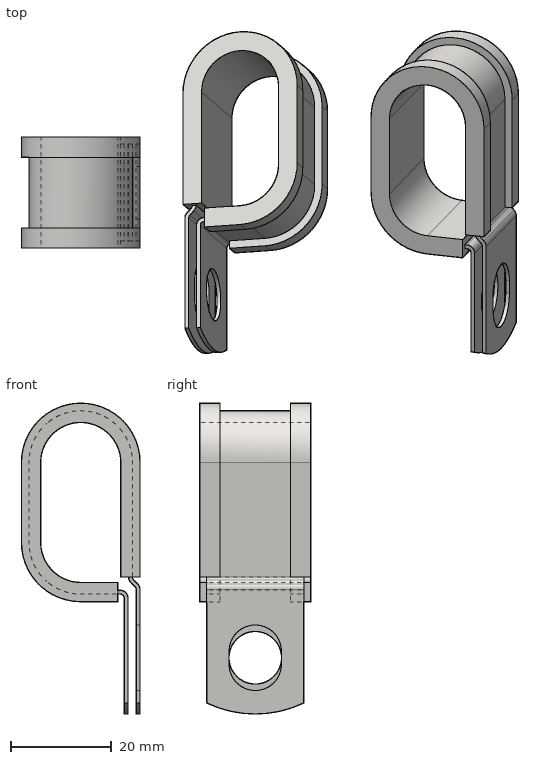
import cadquery as cq
import math

bore_width = 15.87
straight_height = 15.87
outer_width = 23.61
cushion_width = 22.1
overall_height = 61.79
outer_radius = outer_width / 2
bore_radius = bore_width / 2
arc_center_z = straight_height / 2
loop_top = arc_center_z + outer_radius
loop_bottom = -loop_top

side_leg_length = 34.55
side_leg_end_z = loop_top - side_leg_length
bottom_leg_end_x = 7.35

lip_width = 4.05
lip_center_y = (cushion_width - lip_width) / 2
groove_depth = 1.52

strap_thickness = 0.8
strap_width = 19.3
strap_embedment = 1.0
tab_spacing = 2.4
bend_inner_radius = 0.8
bend_radius = bend_inner_radius + strap_thickness / 2
jog_angle = math.radians(45)
strap_center_depth = groove_depth + strap_thickness / 2
outer_tab_x = outer_radius - strap_thickness / 2
inner_tab_x = outer_tab_x - tab_spacing

tab_bottom_z = loop_top - overall_height
tab_end_bulge = 2.2
hole_diameter = 10.4
slot_elongation = 2.6
hole_height_above_end = 11.2
hole_center_z = tab_bottom_z + hole_height_above_end


def open_loop(radius, width):
    """Loop wall between the bore and the given outer radius, centred in Y."""
    diagonal = math.cos(math.radians(45))
    return (
        cq.Workplane("XZ")
        .moveTo(radius, side_leg_end_z)
        .lineTo(radius, arc_center_z)
        .threePointArc((0, arc_center_z + radius), (-radius, arc_center_z))
        .lineTo(-radius, -arc_center_z)
        .threePointArc(
            (-radius * diagonal, -arc_center_z - radius * diagonal),
            (0, -arc_center_z - radius),
        )
        .lineTo(bottom_leg_end_x, -arc_center_z - radius)
        .lineTo(bottom_leg_end_x, -arc_center_z - bore_radius)
        .lineTo(0, -arc_center_z - bore_radius)
        .threePointArc(
            (-bore_radius * diagonal, -arc_center_z - bore_radius * diagonal),
            (-bore_radius, -arc_center_z),
        )
        .lineTo(-bore_radius, arc_center_z)
        .threePointArc((0, arc_center_z + bore_radius), (bore_radius, arc_center_z))
        .lineTo(bore_radius, side_leg_end_z)
        .close()
        .extrude(width / 2, both=True)
    )


def make_cushion():
    """Recessed band with a full-radius lip along each edge."""
    cushion = open_loop(outer_radius - groove_depth, cushion_width)
    for side in (-1, 1):
        lip = open_loop(outer_radius, lip_width).translate((0, side * lip_center_y, 0))
        cushion = cushion.union(lip)
    return cushion


def outer_tab_path():
    """Strap centreline that leaves the side leg and jogs outward to the loop's outer face."""
    start_x = outer_radius - strap_center_depth
    arc_run = bend_radius * (1 - math.cos(jog_angle))
    arc_drop = bend_radius * math.sin(jog_angle)
    slope_run = outer_tab_x - start_x - 2 * arc_run
    slope_drop = slope_run / math.tan(jog_angle)
    slope_start = (start_x + arc_run, side_leg_end_z - arc_drop)
    slope_end = (slope_start[0] + slope_run, slope_start[1] - slope_drop)
    jog_end = (outer_tab_x, slope_end[1] - arc_drop)
    return (
        cq.Workplane("XZ")
        .moveTo(start_x, side_leg_end_z + strap_embedment)
        .lineTo(start_x, side_leg_end_z)
        .tangentArcPoint(slope_start, relative=False)
        .lineTo(*slope_end)
        .tangentArcPoint(jog_end, relative=False)
        .lineTo(outer_tab_x, tab_bottom_z)
    )


def inner_tab_path():
    """Strap centreline that leaves the bottom leg and turns straight down."""
    start_z = loop_bottom + strap_center_depth
    bend_start_x = inner_tab_x - bend_radius
    return (
        cq.Workplane("XZ")
        .moveTo(bottom_leg_end_x - strap_embedment, start_z)
        .lineTo(bend_start_x, start_z)
        .tangentArcPoint((inner_tab_x, start_z - bend_radius), relative=False)
        .lineTo(inner_tab_x, tab_bottom_z)
    )


def tab_outline():
    """Prism along X with the tabs' face shape: straight sides and a bulged end."""
    half_width = strap_width / 2
    side_end_z = tab_bottom_z + tab_end_bulge
    return (
        cq.Workplane("YZ")
        .moveTo(-half_width, 0)
        .lineTo(-half_width, side_end_z)
        .threePointArc((0, tab_bottom_z), (half_width, side_end_z))
        .lineTo(half_width, 0)
        .close()
        .extrude(outer_radius)
    )


def make_tab(path):
    """Sweep the strap section along a centreline and trim it to the tab outline."""
    centreline = path.wire().val()
    section_plane = cq.Plane(
        origin=centreline.startPoint(),
        xDir=(0, 1, 0),
        normal=centreline.tangentAt(0),
    )
    ribbon = cq.Workplane(section_plane).rect(strap_width, strap_thickness).sweep(centreline)
    return ribbon.intersect(tab_outline())


def make_inner_tab():
    """Tab from the bottom leg, with a round screw hole."""
    hole = cq.Workplane("YZ").center(0, hole_center_z).circle(hole_diameter / 2).extrude(outer_radius)
    return make_tab(inner_tab_path()).cut(hole)


def make_outer_tab():
    """Tab from the side leg, with a screw slot elongated along Z."""
    slot_length = hole_diameter + slot_elongation
    slot = (
        cq.Workplane("YZ")
        .center(0, hole_center_z)
        .slot2D(slot_length, hole_diameter, angle=90)
        .extrude(outer_radius)
    )
    return make_tab(outer_tab_path()).cut(slot)


result = make_cushion().union(make_outer_tab()).union(make_inner_tab())